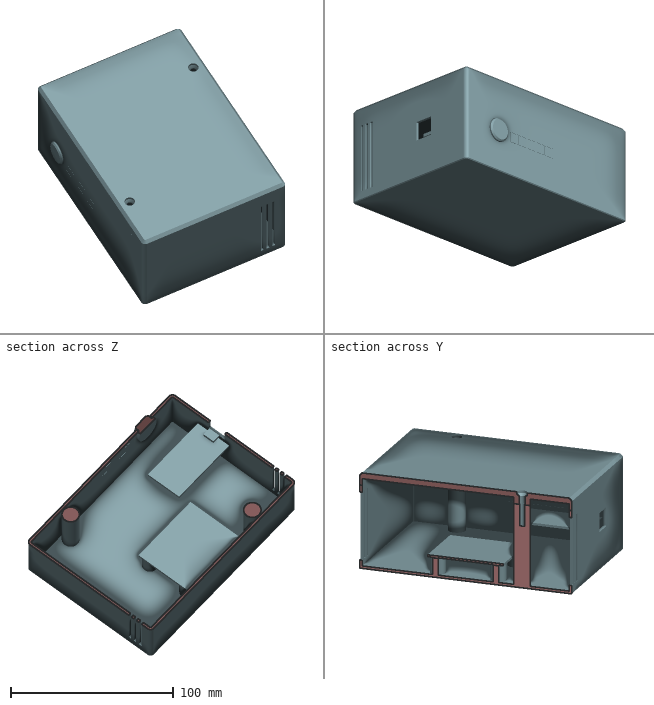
import cadquery as cq


LENGTH = 140.0
WIDTH = 100.0
HEIGHT = 62.6
LID_HEIGHT = 8.0
WALL = 2.0
FLOOR = 2.0
LID_ROOF = 4.0
CORNER_RADIUS = 2.7
LID_CHAMFER_RISE = 2.0
LID_CHAMFER_RUN = 1.8
BASE_CHAMFER = 0.5

BASE_HEIGHT = HEIGHT - LID_HEIGHT
LID_SKIRT = LID_HEIGHT - LID_ROOF
LEFT_X = -LENGTH / 2
FRONT_Y = -WIDTH / 2
INNER_LEFT_X = LEFT_X + WALL
INNER_FRONT_Y = FRONT_Y + WALL
CUT_MARGIN = 1.4

SCREW_X = 37.1
SCREW_Y = 42.0
SCREW_POINTS = [(-SCREW_X, SCREW_Y), (SCREW_X, -SCREW_Y)]
SCREW_HOLE_DIAMETER = 3.5
SCREW_HEAD_DIAMETER = 6.5
SCREW_HEAD_RECESS = 1.5
BOSS_DIAMETER = 11.0
PILOT_DIAMETER = 3.0
PILOT_DEPTH = 14.0

SLOT_COUNT = 3
SLOT_WIDTH = 2.0
SLOT_HEIGHT = 44.0
SLOT_PITCH = 4.0
SLOT_MIDDLE_Y = 37.1
SLOT_BOTTOM = 5.7

BOARD_THICKNESS = 1.5
WINDOW_Y = -12.6
WINDOW_WIDTH = 12.7
WINDOW_HEIGHT = 12.3
WINDOW_BOTTOM = 24.9
CONTROLLER_GAP = 3.0
CONTROLLER_LEFT = INNER_LEFT_X + CONTROLLER_GAP
CONTROLLER_BOTTOM = 26.5
CONTROLLER_LENGTH = 48.0
CONTROLLER_WIDTH = 25.0
SOCKET_LENGTH = 5.6
SOCKET_WIDTH = 8.0
SOCKET_HEIGHT = 2.0
SOCKET_OVERHANG = 0.8

STANDOFF_DIAMETER = 10.0
STANDOFF_HEIGHT = 10.9
STANDOFF_BACK_Y = 37.4
STANDOFF_SPACING_X = 40.0
STANDOFF_SPACING_Y = 30.0
RELAY_X = 0.0
RELAY_Y = STANDOFF_BACK_Y - STANDOFF_SPACING_Y / 2
RELAY_LENGTH = STANDOFF_SPACING_X + STANDOFF_DIAMETER
RELAY_WIDTH = STANDOFF_SPACING_Y + STANDOFF_DIAMETER
RELAY_BOTTOM = FLOOR + STANDOFF_HEIGHT

BUTTON_X = -42.1
BUTTON_Z = 27.0
BUTTON_DIAMETER = 15.0
BUTTON_HOLE_DIAMETER = 15.3
BUTTON_PROJECTION = 1.8
BUTTON_CHAMFER = 1.0
FLANGE_DIAMETER = 17.0
FLANGE_THICKNESS = 2.0

LENS_COUNT = 5
LENS_SIZE = 6.3
LENS_HOLE_SIZE = 6.6
LENS_PITCH = 7.5
FIRST_LENS_X = -28.1
LENS_Z = 25.8
LENS_X_POSITIONS = [FIRST_LENS_X + i * LENS_PITCH for i in range(LENS_COUNT)]


def housing_block(height, inset=0.0):
    """Upright block on Z = 0 with the rounded plan of the housing, inset on all sides."""
    return (
        cq.Workplane("XY")
        .rect(LENGTH - 2 * inset, WIDTH - 2 * inset)
        .extrude(height)
        .edges("|Z")
        .fillet(CORNER_RADIUS - inset)
    )


def upright_cylinders(points, diameter, bottom, height):
    """Equal cylinders along Z that stand at the given points."""
    return (
        cq.Workplane("XY", origin=(0, 0, bottom))
        .pushPoints(points)
        .circle(diameter / 2)
        .extrude(height)
    )


def front_cylinder(diameter, start_y, end_y):
    """Cylinder on the button axis, between two Y positions."""
    return (
        cq.Workplane("XZ", origin=(BUTTON_X, start_y, BUTTON_Z))
        .circle(diameter / 2)
        .extrude(start_y - end_y)
    )


def front_square(x, size, start_y, end_y):
    """Square bar along Y, centred on a lens position, between two Y positions."""
    return (
        cq.Workplane("XZ", origin=(x, start_y, LENS_Z))
        .rect(size, size)
        .extrude(start_y - end_y)
    )


def vent_slot(y):
    """Cutter for one slot, long enough to pierce both end walls."""
    return (
        cq.Workplane("XY", origin=(0, y, SLOT_BOTTOM))
        .rect(LENGTH + 2 * CUT_MARGIN, SLOT_WIDTH)
        .extrude(SLOT_HEIGHT)
    )


def socket_window():
    """Cutter for the rectangular window in the -X end wall."""
    return (
        cq.Workplane("XY", origin=(LEFT_X, WINDOW_Y, WINDOW_BOTTOM))
        .rect(2 * (WALL + CUT_MARGIN), WINDOW_WIDTH)
        .extrude(WINDOW_HEIGHT)
    )


def relay_standoffs():
    """Four round posts on the floor, under the corners of the relay board."""
    points = [
        (RELAY_X + side * STANDOFF_SPACING_X / 2, RELAY_Y + end * STANDOFF_SPACING_Y / 2)
        for side in (-1, 1)
        for end in (-1, 1)
    ]
    return upright_cylinders(points, STANDOFF_DIAMETER, FLOOR, STANDOFF_HEIGHT)


def make_base():
    """Open box with its wall openings, screw bosses and board standoffs."""
    base = housing_block(BASE_HEIGHT).faces("<Z").chamfer(BASE_CHAMFER)
    base = base.cut(housing_block(BASE_HEIGHT, WALL).translate((0, 0, FLOOR)))

    for i in range(SLOT_COUNT):
        offset = (i - (SLOT_COUNT - 1) / 2) * SLOT_PITCH
        base = base.cut(vent_slot(SLOT_MIDDLE_Y + offset))
    base = base.cut(socket_window())

    hole_start = INNER_FRONT_Y + CUT_MARGIN
    hole_end = FRONT_Y - CUT_MARGIN
    base = base.cut(front_cylinder(BUTTON_HOLE_DIAMETER, hole_start, hole_end))
    for x in LENS_X_POSITIONS:
        base = base.cut(front_square(x, LENS_HOLE_SIZE, hole_start, hole_end))

    base = base.union(upright_cylinders(SCREW_POINTS, BOSS_DIAMETER, FLOOR, BASE_HEIGHT - FLOOR))
    base = base.cut(
        upright_cylinders(SCREW_POINTS, PILOT_DIAMETER, BASE_HEIGHT - PILOT_DEPTH, PILOT_DEPTH)
    )
    return base.union(relay_standoffs())


def screw_recess():
    """Cutter on the Z axis: straight head recess, 45 degree cone and through hole."""
    hole_radius = SCREW_HOLE_DIAMETER / 2
    head_radius = SCREW_HEAD_DIAMETER / 2
    cone_top = LID_HEIGHT - SCREW_HEAD_RECESS
    cone_bottom = cone_top - (head_radius - hole_radius)
    profile = [
        (0, 0),
        (hole_radius, 0),
        (hole_radius, cone_bottom),
        (head_radius, cone_top),
        (head_radius, LID_HEIGHT),
        (0, LID_HEIGHT),
    ]
    return cq.Workplane("XZ").polyline(profile).close().revolve(360, (0, 0), (0, 1))


def make_lid():
    """Hollow cap with a chamfered top edge and two countersunk screw columns."""
    lid = housing_block(LID_HEIGHT).faces(">Z").edges().chamfer(LID_CHAMFER_RISE, LID_CHAMFER_RUN)
    lid = lid.cut(housing_block(LID_SKIRT, WALL))
    lid = lid.union(upright_cylinders(SCREW_POINTS, BOSS_DIAMETER, 0, LID_SKIRT))
    for x, y in SCREW_POINTS:
        lid = lid.cut(screw_recess().translate((x, y, 0)))
    return lid.translate((0, 0, BASE_HEIGHT))


def make_button():
    """Chamfered round cap with a flange that rests against the inside of the front wall."""
    cap = front_cylinder(BUTTON_DIAMETER, INNER_FRONT_Y, FRONT_Y - BUTTON_PROJECTION)
    cap = cap.faces("<Y").chamfer(BUTTON_CHAMFER)
    flange = front_cylinder(FLANGE_DIAMETER, INNER_FRONT_Y + FLANGE_THICKNESS, INNER_FRONT_Y)
    return cap.union(flange)


def make_lens(x):
    """Square lens as thick as the front wall and flush with it."""
    return front_square(x, LENS_SIZE, INNER_FRONT_Y, FRONT_Y)


def make_controller_board():
    """Circuit board with a socket that overhangs its edge at the window."""
    board = cq.Workplane("XY").box(
        CONTROLLER_LENGTH, CONTROLLER_WIDTH, BOARD_THICKNESS, centered=(False, True, False)
    )
    socket = (
        cq.Workplane("XY")
        .box(SOCKET_LENGTH, SOCKET_WIDTH, SOCKET_HEIGHT, centered=(False, True, False))
        .translate((-SOCKET_OVERHANG, 0, BOARD_THICKNESS))
    )
    return board.union(socket).translate((CONTROLLER_LEFT, WINDOW_Y, CONTROLLER_BOTTOM))


def make_relay_board():
    """Plain circuit board that rests on the standoffs."""
    return (
        cq.Workplane("XY", origin=(RELAY_X, RELAY_Y, RELAY_BOTTOM))
        .rect(RELAY_LENGTH, RELAY_WIDTH)
        .extrude(BOARD_THICKNESS)
    )


base = make_base()
lid = make_lid()
button = make_button()
lenses = [make_lens(x) for x in LENS_X_POSITIONS]
controller_board = make_controller_board()
relay_board = make_relay_board()

result = cq.Compound.makeCompound(
    [
        base.solids().val(),
        lid.solids().val(),
        button.solids().val(),
        *[lens.solids().val() for lens in lenses],
        controller_board.solids().val(),
        relay_board.solids().val(),
    ]
)